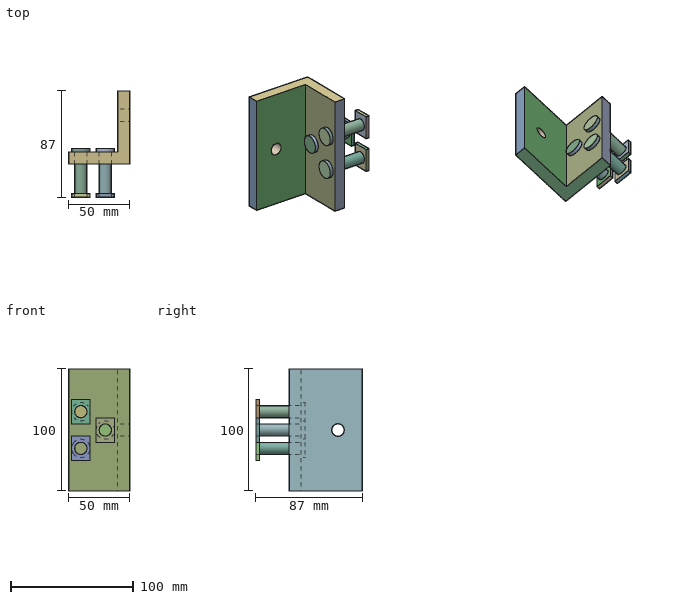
import cadquery as cq

bracket_width = 50.0
bracket_depth = 60.0
bracket_height = 100.0
wall = 10.0

flange_hole_diameter = 10.0
flange_hole_from_back = 20.0

shank_diameter = 10.0
head_diameter = 15.0
head_thickness = 3.0
bolt_overhang = 27.0

end_plate_width = 15.0
end_plate_height = 20.0
end_plate_thickness = 3.0

middle_z = bracket_height / 2
pair_x = 10.0
single_x = 30.0
pair_half_spacing = 15.0
bolt_positions = [
    (pair_x, middle_z + pair_half_spacing),
    (pair_x, middle_z - pair_half_spacing),
    (single_x, middle_z),
]


def cylinder_along_y(x, z, diameter, y_start, y_end):
    """Round bar centred on (x, z), running from y_start to y_end."""
    axis_start = cq.Vector(x, y_start, z)
    bar = cq.Solid.makeCylinder(diameter / 2, y_end - y_start, axis_start, cq.Vector(0, 1, 0))
    return cq.Workplane(bar)


def make_shank(x, z):
    """Shank from the bolt tip to the rear face of the front plate."""
    return cylinder_along_y(x, z, shank_diameter, -bolt_overhang, wall)


def make_bracket():
    """L-section bracket with the flange hole and one hole per bolt."""
    bracket = (
        cq.Workplane("XY")
        .polyline([
            (0, 0),
            (bracket_width, 0),
            (bracket_width, bracket_depth),
            (bracket_width - wall, bracket_depth),
            (bracket_width - wall, wall),
            (0, wall),
        ])
        .close()
        .extrude(bracket_height)
    )
    flange_hole = (
        cq.Workplane("YZ", origin=(bracket_width - wall, 0, 0))
        .center(bracket_depth - flange_hole_from_back, middle_z)
        .circle(flange_hole_diameter / 2)
        .extrude(wall)
    )
    bracket = bracket.cut(flange_hole)
    for x, z in bolt_positions:
        bracket = bracket.cut(make_shank(x, z))
    return bracket


def make_bolt(x, z):
    """Shank with a round head behind the front plate."""
    head = cylinder_along_y(x, z, head_diameter, wall, wall + head_thickness)
    return make_shank(x, z).union(head)


def make_end_plate(x, z):
    """Rectangular plate bored to fit over the shank tip."""
    plate_center_y = -bolt_overhang + end_plate_thickness / 2
    plate = (
        cq.Workplane("XY")
        .box(end_plate_width, end_plate_thickness, end_plate_height)
        .translate((x, plate_center_y, z))
    )
    return plate.cut(make_shank(x, z))


bracket = make_bracket()
bolts = [make_bolt(x, z) for x, z in bolt_positions]
end_plates = [make_end_plate(x, z) for x, z in bolt_positions]

result = cq.Compound.makeCompound([
    bracket.val(),
    *[bolt.val() for bolt in bolts],
    *[end_plate.val() for end_plate in end_plates],
])